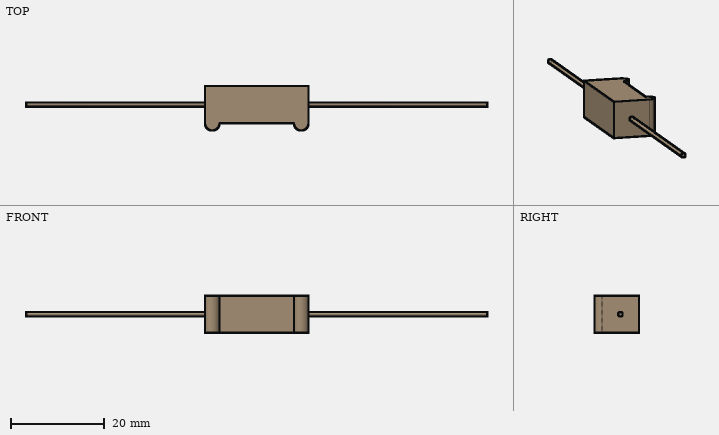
import cadquery as cq

overall_length = 98.4
body_length = 22.1
body_depth = 8.0
body_height = 8.0
foot_radius = 1.6
lead_diameter = 1.0

half_length = body_length / 2
half_depth = body_depth / 2
foot_inner_x = half_length - 2 * foot_radius


def make_body():
    """Rectangular block with a half-round foot at each end of its -Y face."""
    return (
        cq.Workplane("XY")
        .moveTo(-half_length, half_depth)
        .lineTo(-half_length, -half_depth)
        .radiusArc((-foot_inner_x, -half_depth), -foot_radius)
        .lineTo(foot_inner_x, -half_depth)
        .radiusArc((half_length, -half_depth), -foot_radius)
        .lineTo(half_length, half_depth)
        .close()
        .extrude(body_height / 2, both=True)
    )


def make_leads():
    """Straight wire through the centre of the block, standing out at both ends."""
    return cq.Workplane("YZ").circle(lead_diameter / 2).extrude(overall_length / 2, both=True)


result = make_body().union(make_leads())